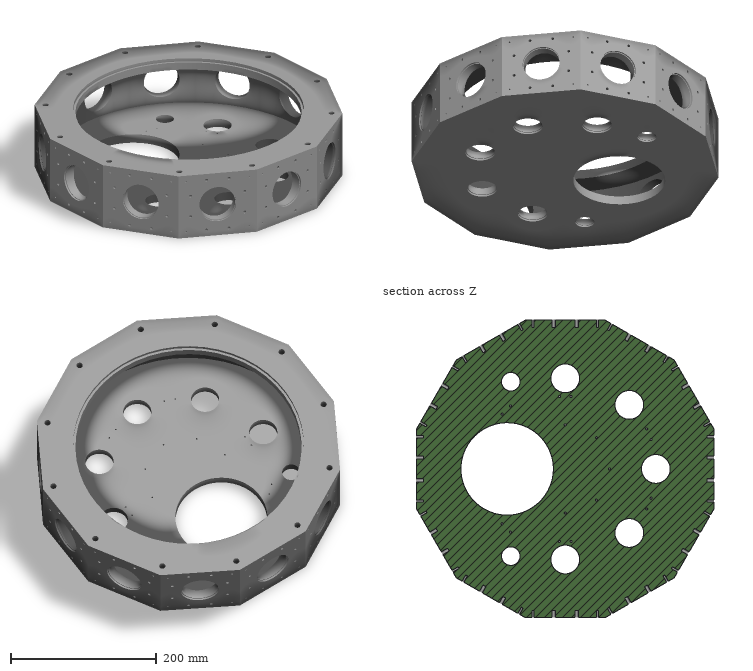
import cadquery as cq
import math

sides = 12
across_flats = 410.5
height = 95.2
corner_angle = 180.0 / sides
corner_circle_d = across_flats / math.cos(math.radians(corner_angle))
mid_height = height / 2

cavity_d = 380.0
floor_thickness = 12.7
lip_thickness = 15.5
lip_opening_d = 311.5
lip_recess_d = 318.0
lip_recess_depth = 4.5

top_screw_d = 8.5
top_screw_depth = 20.5
top_screw_radius = 197.5

port_d = 50.0
port_counterbore_d = 52.0
port_counterbore_depth = 2.5
port_cut_depth = 41.0
side_screw_d = 4.02
side_screw_depth = 10.0
side_screw_circle_d = 82.5
side_screw_count = 8
side_pin_d = 2.25
side_pin_depth = 10.0
side_pin_spacing_across = 88.5
side_pin_spacing_up = 76.0

floor_counterbore_depth = 2.5
main_opening_d = 127.0
main_opening_x = -80.0
large_hole_d = 39.0
large_counterbore_d = 41.0
large_hole_radius = 125.0
large_hole_angles = (-90, -45, 0, 45, 90)
small_hole_d = 25.0
small_counterbore_d = 26.3
small_hole_radius = 141.5
small_hole_angles = (-122, 122)

floor_pin_d = 2.25
floor_pin_depth = 6.0
single_pin_radius = 60.8
single_pin_angles = (-90, -45, 0, 45, 90)
pin_pair_spacing = 16.0
pin_pairs = (
    (99.8, -90),
    (99.8, 90),
    (125.0, -22.5),
    (125.0, 22.5),
    (115.0, -135),
    (115.0, 135),
)


def polar(radius, angle, sideways=0.0):
    """Point at a radius and angle, moved sideways at right angles to the radius."""
    a = math.radians(angle)
    return (
        radius * math.cos(a) - sideways * math.sin(a),
        radius * math.sin(a) + sideways * math.cos(a),
    )


def cylinders(points, diameter, bottom, top):
    """Upright cylinders at the given XY points."""
    plane = cq.Workplane("XY").workplane(offset=bottom)
    return plane.pushPoints(points).circle(diameter / 2).extrude(top - bottom)


def make_body():
    body = (
        cq.Workplane("XY")
        .polygon(sides, corner_circle_d)
        .extrude(height)
        .rotate((0, 0, 0), (0, 0, 1), corner_angle)
    )
    center = [(0, 0)]
    body = body.cut(cylinders(center, cavity_d, floor_thickness, height - lip_thickness))
    body = body.cut(cylinders(center, lip_opening_d, floor_thickness, height))
    return body.cut(cylinders(center, lip_recess_d, height - lip_recess_depth, height))


def cut_top_screws(body):
    points = [polar(top_screw_radius, corner_angle + i * 360 / sides) for i in range(sides)]
    return body.cut(cylinders(points, top_screw_d, height - top_screw_depth, height))


def cut_floor_holes(body, points, diameter, counterbore_d):
    """Through holes in the floor, counterbored from the underside."""
    body = body.cut(cylinders(points, diameter, 0, floor_thickness))
    return body.cut(cylinders(points, counterbore_d, 0, floor_counterbore_depth))


def cut_floor_pins(body):
    points = [polar(single_pin_radius, angle) for angle in single_pin_angles]
    for radius, angle in pin_pairs:
        for side in (-1, 1):
            points.append(polar(radius, angle, side * pin_pair_spacing / 2))
    return body.cut(cylinders(points, floor_pin_d, floor_thickness - floor_pin_depth, floor_thickness))


def side_face_cutter(angle):
    """Port, screw holes and pin holes of the side face that looks along the angle."""
    x, y = polar(across_flats / 2, angle)
    outward = (*polar(1, angle), 0)
    along_face = (*polar(1, angle + 90), 0)
    face = cq.Workplane(cq.Plane((x, y, mid_height), xDir=along_face, normal=outward))
    port = face.circle(port_d / 2).extrude(-port_cut_depth)
    counterbore = face.circle(port_counterbore_d / 2).extrude(-port_counterbore_depth)
    screws = (
        face.polarArray(side_screw_circle_d / 2, 180 / side_screw_count, 360, side_screw_count)
        .circle(side_screw_d / 2)
        .extrude(-side_screw_depth)
    )
    pins = (
        face.rarray(side_pin_spacing_across, side_pin_spacing_up, 2, 2)
        .circle(side_pin_d / 2)
        .extrude(-side_pin_depth)
    )
    return port.add(counterbore).add(screws).add(pins).combine()


result = make_body()
result = cut_top_screws(result)
result = result.cut(cylinders([(main_opening_x, 0)], main_opening_d, 0, floor_thickness))
large_holes = [polar(large_hole_radius, angle) for angle in large_hole_angles]
result = cut_floor_holes(result, large_holes, large_hole_d, large_counterbore_d)
small_holes = [polar(small_hole_radius, angle) for angle in small_hole_angles]
result = cut_floor_holes(result, small_holes, small_hole_d, small_counterbore_d)
result = cut_floor_pins(result)
for i in range(sides):
    result = result.cut(side_face_cutter(i * 360 / sides))